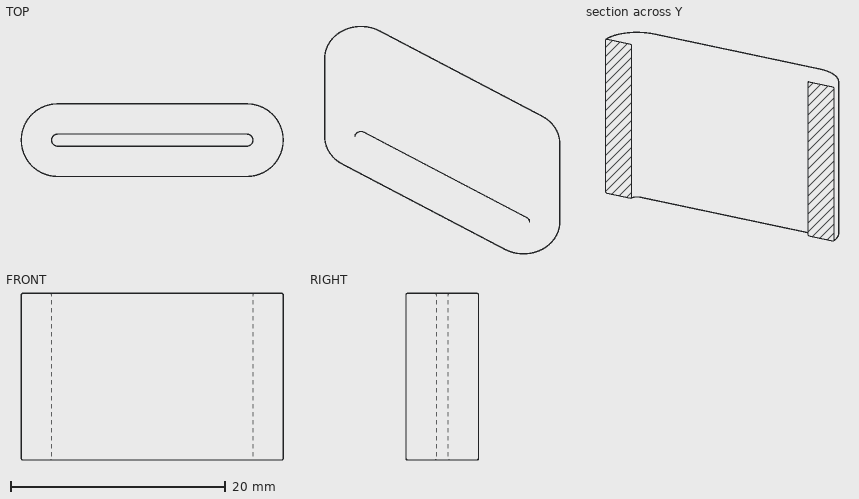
import cadquery as cq

length = 24.5
width = 6.8
height = 15.6
edge_round = 0.2

slot_width = 1.1
slot_length = length - width + slot_width


def make_sleeve():
    """Straight-sided, round-ended sleeve with rounded outer rims and a rounded slot mouth."""
    body = cq.Workplane("XY").slot2D(length, width).extrude(height)
    slot = cq.Workplane("XY").slot2D(slot_length, slot_width).extrude(height)
    body = body.cut(slot)
    return body.faces("<Z or >Z").edges().fillet(edge_round)


sleeve = make_sleeve()
result = cq.Compound.makeCompound([sleeve.val()])